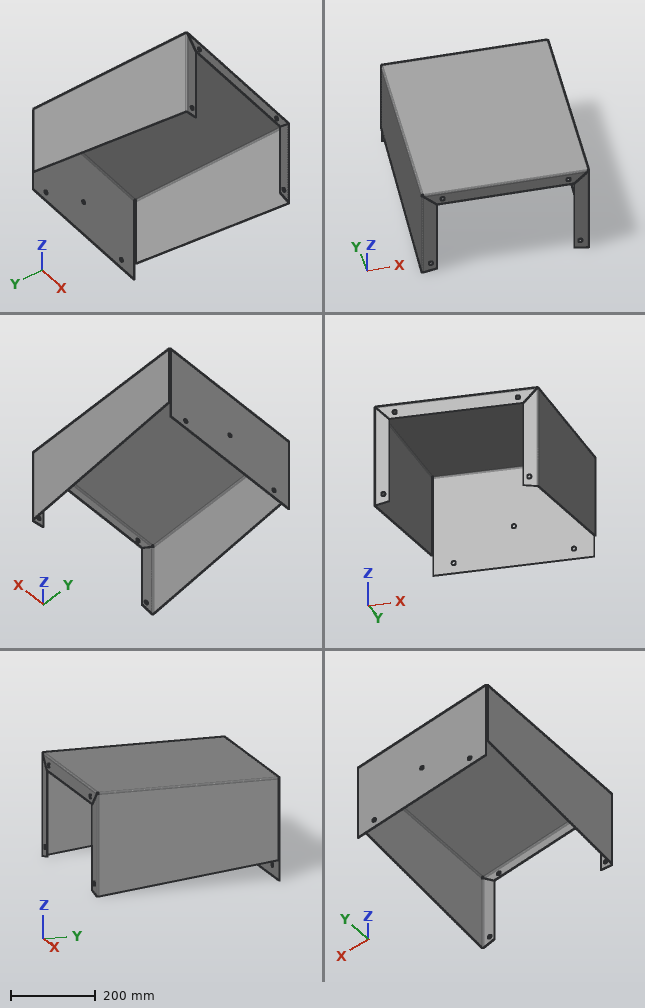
import cadquery as cq
import math

width = 406.5
depth = 457.0
height = 254.0

sheet = 2.05
bend_radius = 4.0
inner_radius = bend_radius - sheet
flange = 37.5
mitre_gap = 1.0

side_rise = 51.0
flange_rise = 6.5

hole_diameter = 10.5
top_hole_x = 152.2
top_hole_z = height - 21.5
low_hole_z = 26.5
side_hole_x = 180.5
rear_hole_x = 148.5
rear_center_hole_z = 102.5

half_width = width / 2
flat_half_width = half_width - bend_radius
flat_top = height - bend_radius
front_y = -depth / 2
rear_y = depth / 2
front_bend_y = front_y + bend_radius
rear_bend_y = rear_y - bend_radius
flat_depth = depth - 2 * bend_radius


def quarter_bend(center, first_face, along, length):
    """Quarter tube around center, running along an axis.

    It turns a quarter turn about that axis, counterclockwise from the first_face direction.
    """
    diagonal = math.sqrt(0.5)
    outer_middle = bend_radius * diagonal
    inner_middle = inner_radius * diagonal
    return (
        cq.Workplane(cq.Plane(origin=center, xDir=first_face, normal=along))
        .moveTo(bend_radius, 0)
        .threePointArc((outer_middle, outer_middle), (0, bend_radius))
        .lineTo(0, inner_radius)
        .threePointArc((inner_middle, inner_middle), (inner_radius, 0))
        .close()
        .extrude(length)
    )


def front_plate(points, y):
    """Sheet with an XZ outline, running back from y."""
    return cq.Workplane("XZ", origin=(0, y, 0)).polyline(points).close().extrude(-sheet)


def both_sides(left):
    """Pair of a left-hand shape and its right-hand mirror image."""
    return left.union(left.mirror("YZ"))


def holes(points, y):
    """Round cutters through the sheet whose front face is at y."""
    return (
        cq.Workplane("XZ", origin=(0, y, 0))
        .pushPoints(points)
        .circle(hole_diameter / 2)
        .extrude(-sheet)
    )


def top_panel():
    """Flat top with the bends along its front and rear edges."""
    length = 2 * flat_half_width
    panel = cq.Workplane("XY", origin=(0, 0, height)).rect(length, flat_depth).extrude(-sheet)
    front_center = (-flat_half_width, front_bend_y, flat_top)
    rear_center = (-flat_half_width, rear_bend_y, flat_top)
    front_bend = quarter_bend(front_center, (0, 0, 1), (1, 0, 0), length)
    rear_bend = quarter_bend(rear_center, (0, 1, 0), (1, 0, 0), length)
    return panel.union(front_bend).union(rear_bend)


def top_front_flange():
    lower_z = height - flange
    lower_half_width = half_width - flange
    outline = [
        (-flat_half_width, flat_top),
        (flat_half_width, flat_top),
        (lower_half_width, lower_z),
        (-lower_half_width, lower_z),
    ]
    plate = front_plate(outline, front_y)
    return plate.cut(holes([(-top_hole_x, top_hole_z), (top_hole_x, top_hole_z)], front_y))


def left_side():
    """Side panel with a sloping lower edge, and the bends to the top and to the front flange."""
    outline = [
        (front_bend_y, 0),
        (rear_bend_y, side_rise),
        (rear_bend_y, flat_top),
        (front_bend_y, flat_top),
    ]
    panel = cq.Workplane("YZ", origin=(-half_width, 0, 0)).polyline(outline).close().extrude(sheet)
    top_center = (-flat_half_width, front_bend_y, flat_top)
    front_center = (-flat_half_width, front_bend_y, 0)
    top_bend = quarter_bend(top_center, (-1, 0, 0), (0, 1, 0), flat_depth)
    front_bend = quarter_bend(front_center, (-1, 0, 0), (0, 0, 1), flat_top)
    return panel.union(top_bend).union(front_bend)


def left_front_flange():
    inner_x = flange - half_width
    outline = [
        (-flat_half_width, 0),
        (inner_x, flange_rise),
        (inner_x, height - flange - mitre_gap),
        (-flat_half_width, flat_top - mitre_gap),
    ]
    return front_plate(outline, front_y).cut(holes([(-side_hole_x, low_hole_z)], front_y))


def rear_panel():
    inner_y = rear_y - sheet
    outline = [
        (-flat_half_width, 0),
        (flat_half_width, 0),
        (flat_half_width, flat_top),
        (-flat_half_width, flat_top),
    ]
    hole_points = [
        (-rear_hole_x, low_hole_z),
        (rear_hole_x, low_hole_z),
        (0, rear_center_hole_z),
    ]
    return front_plate(outline, inner_y).cut(holes(hole_points, inner_y))


result = (
    top_panel()
    .union(top_front_flange())
    .union(both_sides(left_side()))
    .union(both_sides(left_front_flange()))
    .union(rear_panel())
)